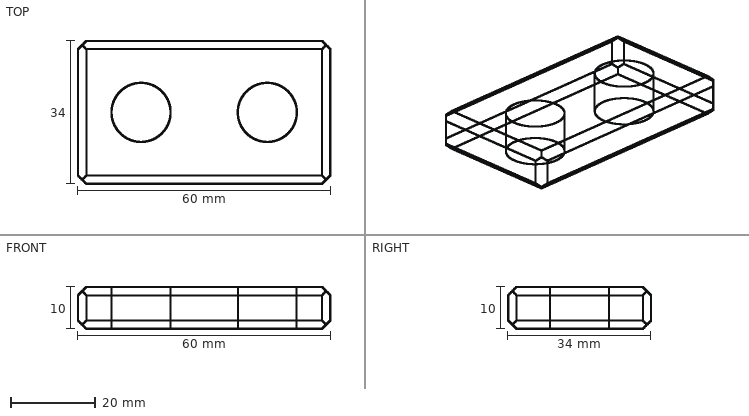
import cadquery as cq

length = 60.0
width = 34.0
thickness = 10.0
edge_chamfer = 2.0

hole_diameter = 14.0
hole_spacing = 30.0


def plate_chamfered_along(axis):
    """Rectangular plate with only the edges parallel to one axis chamfered."""
    plate = cq.Workplane("XY").box(length, width, thickness)
    return plate.edges("|" + axis).chamfer(edge_chamfer)


def chamfered_plate():
    """Plate with every edge chamfered, the flat chamfers meeting in a point at each corner.

    The common volume of the three singly chamfered plates lets the chamfers run
    into each other, where chamfering all edges at once would cut the corners off.
    """
    plate = plate_chamfered_along("X")
    for axis in ("Y", "Z"):
        plate = plate.intersect(plate_chamfered_along(axis))
    return plate


def drill_holes(plate):
    """Drill the two holes straight through the thickness."""
    hole_centres = [(-hole_spacing / 2, 0), (hole_spacing / 2, 0)]
    return plate.faces(">Z").workplane(origin=(0, 0, 0)).pushPoints(hole_centres).hole(hole_diameter)


result = drill_holes(chamfered_plate())